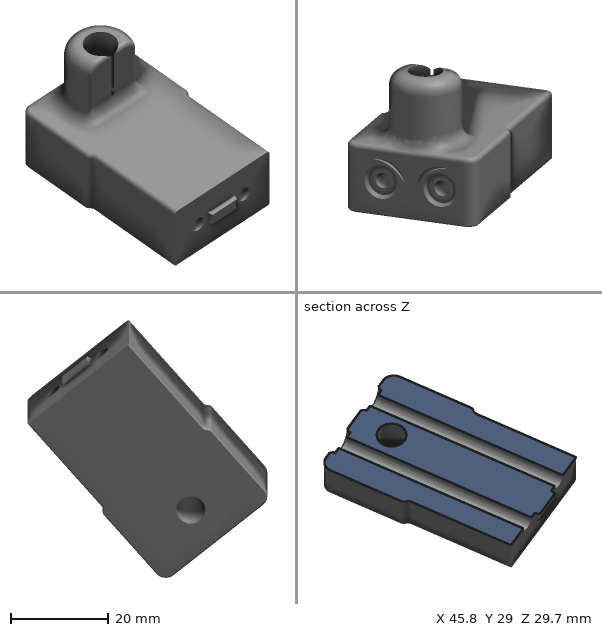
import math

import cadquery as cq

overall_length = 45.83
body_length = 44.8
body_width = 29.02
body_height = 15.0
rear_width = 27.25
front_length = 19.3
step_length = 1.8
corner_radius = 2.5
top_edge_radius = 1.0
bottom_chamfer = 0.3

boss_x = 8.77
boss_radius = 7.5
boss_top_z = 29.69
boss_flat_offset = 3.66
boss_flat_edge_radius = 1.0
boss_top_radius = 3.0
boss_base_radius = 3.0
bore_diameter = 6.0
upper_bore_diameter = 7.35

lip_outer_radius = boss_radius + boss_base_radius
lip_inner_radius = 10.25
lip_height = 0.011
lip_sweep = 100

hole_center_y = -0.2
hole_spacing = 13.06
hole_z = 7.42
hole_diameter = 3.25
counterbore_diameter = 6.25
countersink_diameter = 7.35
countersink_depth = (countersink_diameter - counterbore_diameter) / 2
counterbore_depth = 1.0

crescent_outer_radius = 5.07
crescent_inner_radius = 7.7
crescent_floor_radius = 6.9
crescent_middle_angle = 56.5
crescent_half_angle = 51.3
crescent_depth = 0.5

tab_length = overall_length - body_length
tab_height = 2.85
tab_end_height = 2.58
tab_clearance_radius = 3.05
tab_end_clearance_radius = 3.34

hole_positions = [hole_center_y + side * hole_spacing / 2 for side in (-1, 1)]


def make_body():
    """Two-width block; its rear face keeps sharp edges."""
    half_width = body_width / 2
    half_rear = rear_width / 2
    step_mid_x = front_length + step_length / 2
    step_mid_y = (half_width + half_rear) / 2
    step_end_x = front_length + step_length
    block = (
        cq.Workplane("XY")
        .moveTo(0, -half_width)
        .lineTo(front_length, -half_width)
        .tangentArcPoint((step_mid_x, -step_mid_y), relative=False)
        .tangentArcPoint((step_end_x, -half_rear), relative=False)
        .lineTo(body_length, -half_rear)
        .lineTo(body_length, half_rear)
        .lineTo(step_end_x, half_rear)
        .tangentArcPoint((step_mid_x, step_mid_y), relative=False)
        .tangentArcPoint((front_length, half_width), relative=False)
        .lineTo(0, half_width)
        .close()
        .extrude(body_height)
    )
    block = block.edges("|Z and <X").fillet(corner_radius)
    block = block.faces(">Z").edges("not >X").fillet(top_edge_radius)
    return block.faces("<Z").edges("not >X").chamfer(bottom_chamfer)


def make_boss():
    """Post standing on the body, flattened on +X and rounded at the top."""
    boss_height = boss_top_z - body_height
    boss = cq.Workplane("XY").circle(boss_radius).extrude(boss_height)
    beyond_flat = cq.Workplane("XY", origin=(boss_flat_offset, 0, 0)).box(
        boss_radius, 2 * boss_radius, boss_height, centered=(False, True, False)
    )
    boss = boss.cut(beyond_flat)
    boss = boss.faces(">Z").edges("%CIRCLE").fillet(boss_top_radius)
    boss = boss.faces(">X").edges("not <Z").fillet(boss_flat_edge_radius)
    return boss.translate((boss_x, 0, body_height))


def blend_boss_base(part):
    """Fillet the edges where the post meets the body top."""
    margin = 0.1
    reach = boss_radius + margin
    around_base = cq.selectors.BoxSelector(
        (boss_x - reach, -reach, body_height - margin),
        (boss_x + reach, reach, body_height + margin),
        boundingbox=True,
    )
    return part.edges(around_base).fillet(boss_base_radius)


def make_boss_bore():
    """Bore through post and body, wider within the post."""
    bore = cq.Workplane("XY").circle(bore_diameter / 2).extrude(boss_top_z)
    upper_bore = (
        cq.Workplane("XY", origin=(0, 0, body_height))
        .circle(upper_bore_diameter / 2)
        .extrude(boss_top_z - body_height)
    )
    return bore.union(upper_bore).translate((boss_x, 0, 0))


def make_lengthwise_hole(center_y):
    """Revolved cutter: countersink, counterbore and a hole through the body."""
    return (
        cq.Workplane("XY")
        .moveTo(0, 0)
        .lineTo(0, countersink_diameter / 2)
        .lineTo(countersink_depth, counterbore_diameter / 2)
        .lineTo(counterbore_depth, counterbore_diameter / 2)
        .lineTo(counterbore_depth, hole_diameter / 2)
        .lineTo(overall_length, hole_diameter / 2)
        .lineTo(overall_length, 0)
        .close()
        .revolve(360, (0, 0, 0), (1, 0, 0))
        .translate((0, center_y, hole_z))
    )


def make_crescent(center_y, inward):
    """Crescent cutter concentric with a hole; inward is the Y sign toward the other hole."""

    def point(radius, degrees):
        angle = math.radians(degrees)
        return (center_y + inward * radius * math.cos(angle), hole_z + radius * math.sin(angle))

    half_chord = crescent_outer_radius * math.sin(math.radians(crescent_half_angle))
    chord_distance = crescent_outer_radius * math.cos(math.radians(crescent_half_angle))
    start = point(crescent_outer_radius, crescent_middle_angle - crescent_half_angle)
    end = point(crescent_outer_radius, crescent_middle_angle + crescent_half_angle)
    outer_middle = point(crescent_outer_radius, crescent_middle_angle)

    def add_outline(plane, inner_radius):
        inner_rise = inner_radius - math.sqrt(inner_radius**2 - half_chord**2)
        inner_middle = point(chord_distance + inner_rise, crescent_middle_angle)
        return (
            plane.moveTo(*start)
            .threePointArc(outer_middle, end)
            .threePointArc(inner_middle, start)
            .close()
        )

    face_outline = add_outline(cq.Workplane("YZ"), crescent_inner_radius)
    floor_plane = face_outline.workplane(offset=crescent_depth, origin=(0, 0, 0))
    return add_outline(floor_plane, crescent_floor_radius).loft(ruled=True)


def make_lip():
    """Wedge-shaped ring sector, thickest at its inner radius."""
    return (
        cq.Workplane("XZ")
        .moveTo(lip_inner_radius, -lip_height)
        .lineTo(lip_inner_radius, lip_height)
        .lineTo(lip_outer_radius, 0)
        .lineTo(lip_outer_radius, -lip_height)
        .close()
        .revolve(lip_sweep, (0, 0, 0), (0, 1, 0))
        .rotate((0, 0, 0), (0, 0, 1), -lip_sweep / 2)
        .translate((boss_x, 0, body_height))
    )


def make_tab():
    """Tapered bar trimmed at both ends by cones that share the hole axes."""
    tab = (
        cq.Workplane("YZ", origin=(body_length, hole_center_y, hole_z))
        .rect(hole_spacing, tab_height)
        .workplane(offset=tab_length)
        .rect(hole_spacing, tab_end_height)
        .loft()
    )
    for center_y in hole_positions:
        clearance = (
            cq.Workplane("YZ", origin=(body_length, center_y, hole_z))
            .circle(tab_clearance_radius)
            .workplane(offset=tab_length)
            .circle(tab_end_clearance_radius)
            .loft()
        )
        tab = tab.cut(clearance)
    return tab


part = blend_boss_base(make_body().union(make_boss()))
part = part.cut(make_boss_bore()).union(make_lip()).union(make_tab())
for center_y in hole_positions:
    inward = 1 if center_y < hole_center_y else -1
    part = part.cut(make_lengthwise_hole(center_y))
    part = part.cut(make_crescent(center_y, inward))

result = part